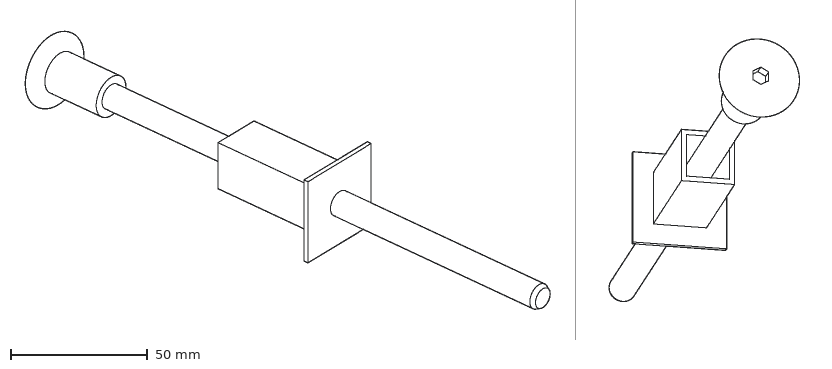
import cadquery as cq

total_length = 240.0
head_diameter = 30.0
head_thickness = 5.0
collar_diameter = 16.5
collar_end = 30.0
rod_diameter = 10.0
tip_chamfer = 2.0
tip_chamfer_depth = 1.0
socket_across_corners = 6.7
socket_depth = 5.0

plate_side = 35.0
plate_thickness = 2.0
tube_side = 20.0
tube_wall = 2.0
tube_start = 90.8
tube_length = 48.5
plate_start = tube_start + tube_length


def section_at(x):
    """YZ work plane at a distance along the rod axis."""
    return cq.Workplane("YZ", origin=(x, 0, 0))


def make_plunger():
    """Rod with a rounded head, a collar, a chamfered tip and a hex socket."""
    head_radius = head_diameter / 2
    rim_radius = head_thickness / 2
    flat_radius = head_radius - rim_radius
    head = (
        cq.Workplane("XY")
        .lineTo(0, flat_radius)
        .threePointArc((rim_radius, head_radius), (head_thickness, flat_radius))
        .lineTo(head_thickness, 0)
        .close()
        .revolve(360, (0, 0, 0), (1, 0, 0))
    )
    collar_length = collar_end - head_thickness
    collar = section_at(head_thickness).circle(collar_diameter / 2).extrude(collar_length)
    rod = section_at(collar_end).circle(rod_diameter / 2).extrude(total_length - collar_end)
    rod = rod.faces(">X").chamfer(tip_chamfer, tip_chamfer_depth)
    socket = (
        section_at(0)
        .transformed(rotate=(0, 0, 90))
        .polygon(6, socket_across_corners)
        .extrude(socket_depth)
    )
    return head.union(collar).union(rod).cut(socket)


def make_guide():
    """Open square tube ending in a plate that is bored to fit the rod."""
    tube_bore_side = tube_side - 2 * tube_wall
    tube = (
        section_at(tube_start)
        .rect(tube_side, tube_side)
        .rect(tube_bore_side, tube_bore_side)
        .extrude(tube_length)
    )
    plate = (
        section_at(plate_start)
        .rect(plate_side, plate_side)
        .circle(rod_diameter / 2)
        .extrude(plate_thickness)
    )
    return tube.union(plate)


plunger = make_plunger()
guide = make_guide()
result = cq.Compound.makeCompound([plunger.val(), guide.val()])